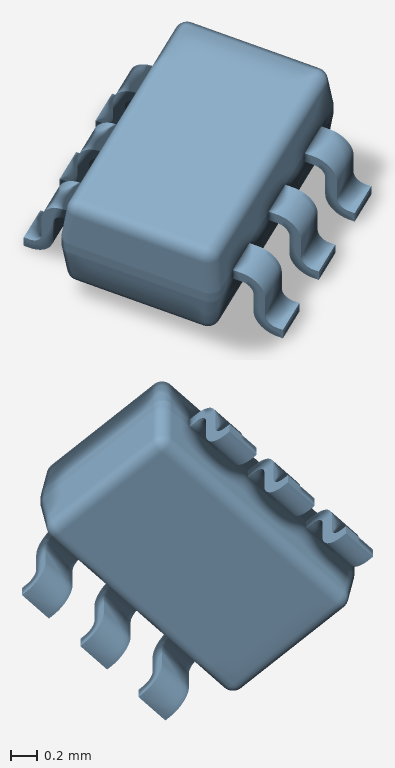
import cadquery as cq

HOUSING_WIDTH = 1.35
HOUSING_LENGTH = 2.2
HOUSING_TOP = 1.0
DRAFT_ANGLE = 6.0
HOUSING_FILLET = 0.1

LEAD_SPAN = 2.2
LEAD_THICKNESS = 0.1
LEAD_WIDTH = 0.3
LEAD_PITCH = 0.65
LEADS_PER_SIDE = 3
LEAD_TOP = 0.6
FOOT_FLAT = 0.05
BEND_INNER_RADIUS = 0.1
BEND_OUTER_RADIUS = BEND_INNER_RADIUS + LEAD_THICKNESS

BAND_TOP = LEAD_TOP
BAND_BOTTOM = LEAD_TOP - LEAD_THICKNESS
HALF_HEIGHT = HOUSING_TOP - BAND_TOP


def make_drafted_half(base_z, direction):
    """Half of the housing, narrowing away from the band; direction is +1 up or -1 down."""
    half = (
        cq.Workplane("XY")
        .rect(HOUSING_WIDTH, HOUSING_LENGTH)
        .extrude(HALF_HEIGHT, taper=DRAFT_ANGLE)
    )
    if direction < 0:
        half = half.mirror("XY")
    return half.translate((0, 0, base_z))


def make_housing():
    """Moulded block with a straight band, drafted halves and every edge rounded."""
    band = (
        cq.Workplane("XY", origin=(0, 0, BAND_BOTTOM))
        .rect(HOUSING_WIDTH, HOUSING_LENGTH)
        .extrude(BAND_TOP - BAND_BOTTOM)
    )
    block = band.union(make_drafted_half(BAND_TOP, 1)).union(make_drafted_half(BAND_BOTTOM, -1))
    return block.edges().fillet(HOUSING_FILLET).solids()


def make_lead(y):
    """S-bent strip on the +X side, from the housing side wall down to its foot at Z = 0."""
    wall_x = HOUSING_WIDTH / 2
    tip_x = LEAD_SPAN / 2
    foot_bend_x = tip_x - FOOT_FLAT
    foot_bend_z = BEND_OUTER_RADIUS
    leg_inner_x = foot_bend_x - BEND_OUTER_RADIUS
    leg_outer_x = leg_inner_x + LEAD_THICKNESS
    shoulder_bend_x = leg_outer_x - BEND_OUTER_RADIUS
    shoulder_bend_z = LEAD_TOP - BEND_OUTER_RADIUS

    return (
        cq.Workplane("XZ", origin=(0, y, 0))
        .moveTo(wall_x, LEAD_TOP)
        .lineTo(shoulder_bend_x, LEAD_TOP)
        .tangentArcPoint((leg_outer_x, shoulder_bend_z), relative=False)
        .lineTo(leg_outer_x, foot_bend_z)
        .tangentArcPoint((foot_bend_x, LEAD_THICKNESS), relative=False)
        .lineTo(tip_x, LEAD_THICKNESS)
        .lineTo(tip_x, 0)
        .lineTo(foot_bend_x, 0)
        .tangentArcPoint((leg_inner_x, foot_bend_z), relative=False)
        .lineTo(leg_inner_x, shoulder_bend_z)
        .tangentArcPoint((shoulder_bend_x, LEAD_TOP - LEAD_THICKNESS), relative=False)
        .lineTo(wall_x, LEAD_TOP - LEAD_THICKNESS)
        .close()
        .extrude(LEAD_WIDTH / 2, both=True)
        .solids()
    )


housing = make_housing()

leads = []
for index in range(LEADS_PER_SIDE):
    lead_y = (index - (LEADS_PER_SIDE - 1) / 2) * LEAD_PITCH
    right_lead = make_lead(lead_y)
    leads.append(right_lead)
    leads.append(right_lead.mirror("YZ"))

lead_solids = [lead.val() for lead in leads]
result = cq.Compound.makeCompound([housing.val(), *lead_solids])